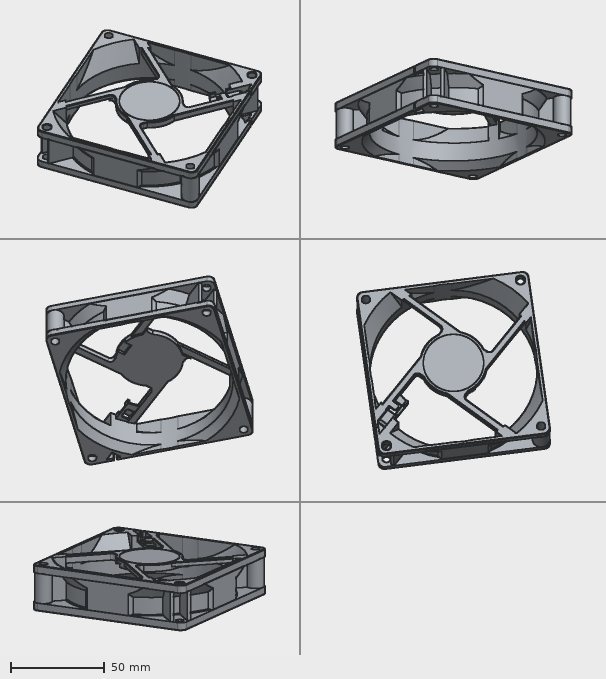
import cadquery as cq
import math

HEIGHT = 25.1
TIP_REACH = 64.1
CORNER_RADIUS = 3.5
FLANGE_HALF = (TIP_REACH + (math.sqrt(2) - 1) * CORNER_RADIUS) / math.sqrt(2)
FLANGE_THICK = 4.4
EDGE_CHAMFER = 0.4
UPPER_FLANGE_Z = HEIGHT - FLANGE_THICK
SPACER_HEIGHT = HEIGHT - 2 * FLANGE_THICK

HOLE_DISTANCE = 59.0
HOLE_DIAMETER = 4.5
POST_RADIUS = 4.7
WEB_THICK = 1.4
GUARD_INNER = 3.7
GUARD_THICK = 1.9
GUARD_REACH = 60.1

BORE_RADIUS = 44.7
DUCT_WALL = 1.7
DUCT_RADIUS = BORE_RADIUS + DUCT_WALL
FLARE_Z = 14.4
FLARE_SLOPE = 0.7
FOOT_FLARE_Z = 4.2
BORE_FLAT = 44.5
PAD_FACE = 46.0
PAD_HALF_WIDTH = 12.5
PAD_ROOT = 42.3

HUB_RADIUS = 18.0
LABEL_RADIUS = 16.2
LABEL_DEPTH = 0.1
SPIDER_THICK = 3.8
THIN_STRUT_THICK = 2.4
STRUT_INNER = 12.3
STRUT_OUTER = 16.2
STRUT_FILLET = 2.2
ANCHOR_MARGIN = 1.0
NOTCH_WIDTH = 7.4
NOTCH_DEPTH = 4.5
NOTCH_HEIGHT = 1.9

GUIDE_LEFT = 7.0
GUIDE_WALL = 1.2
GUIDE_ANCHOR_LEFT = 2.8
GUIDE_FLOOR_Z = 21.8
GUIDE_FLOOR_THICK = 1.0
GUIDE_FLOOR_END = 50.2
GUIDE_RAMP = 1.7
GUIDE_RAMP_DROP = 0.9
GUIDE_TIP = 32.0
GUIDE_TIP_SLANT = 1.3
WINDOW_LEFT = 7.7
WINDOW_LENGTH = 6.3
WINDOW_CENTER = 38.5
WINDOW_ROUND = 0.6
FINGER_TIP = 8.2
FINGER_WIDTH = 3.5
FINGER_THICK = 1.7
FINGER_ROUND = 1.3
SLIT_OFFSET = 30.0
SLIT_WIDTH = 1.8

OVERLAP = 0.6


def box(x0, x1, y0, y1, z0, z1):
    return cq.Workplane("XY").box(x1 - x0, y1 - y0, z1 - z0, centered=False).translate((x0, y0, z0))


def disc(radius, z0, z1):
    return cq.Workplane("XY").workplane(offset=z0).circle(radius).extrude(z1 - z0)


def diamond(half, z0, z1):
    """Square prism with its corners on the X and Y axes."""
    return (
        cq.Workplane("XY").workplane(offset=z0).rect(2 * half, 2 * half).extrude(z1 - z0)
        .rotate((0, 0, 0), (0, 0, 1), 45)
    )


def flared(radius, foot_flare_z):
    """Cylinder that opens into a cone towards the top and a 45 degree cone towards the base."""
    foot_radius = radius + foot_flare_z
    top_radius = radius + FLARE_SLOPE * (HEIGHT - FLARE_Z)
    return (
        cq.Workplane("XZ")
        .polyline([
            (0, 0), (foot_radius, 0), (radius, foot_flare_z),
            (radius, FLARE_Z), (top_radius, HEIGHT), (0, HEIGHT),
        ])
        .close().revolve(360, (0, 0, 0), (0, 1, 0))
    )


def duct_body():
    """Outer skin of the duct, one wall thickness outside the air passage."""
    foot_flare_z = FOOT_FLARE_Z + DUCT_WALL * math.tan(math.radians(45) / 2)
    return flared(DUCT_RADIUS, foot_flare_z)


def four(shape):
    """The shape together with its copies at every quarter turn."""
    group = shape
    for turn in range(1, 4):
        group = group.union(shape.rotate((0, 0, 0), (0, 0, 1), 90 * turn))
    return group


def flange(z0, outer_face):
    plate = diamond(FLANGE_HALF, z0, z0 + FLANGE_THICK).edges("|Z").fillet(CORNER_RADIUS)
    return plate.faces(outer_face).chamfer(EDGE_CHAMFER)


def pad():
    """Flat pad on one side of the duct, with 45 degree ends."""
    root_half = PAD_HALF_WIDTH + PAD_FACE - PAD_ROOT
    return (
        cq.Workplane("XY")
        .polyline([
            (-PAD_HALF_WIDTH, PAD_FACE), (PAD_HALF_WIDTH, PAD_FACE),
            (root_half, PAD_ROOT), (-root_half, PAD_ROOT),
        ])
        .close().extrude(SPACER_HEIGHT).translate((0, 0, FLANGE_THICK))
        .rotate((0, 0, 0), (0, 0, 1), 45)
    )


def corner_spacers():
    """Posts with webs on the X corners and twin walls on the Y corners."""
    z0, z1 = FLANGE_THICK, UPPER_FLANGE_Z
    group = box(-HOLE_DISTANCE, HOLE_DISTANCE, -WEB_THICK / 2, WEB_THICK / 2, z0, z1)
    guard = box(GUARD_INNER, GUARD_INNER + GUARD_THICK, -GUARD_REACH, GUARD_REACH, z0, z1)
    group = group.union(guard).union(guard.mirror("YZ"))
    for side in (-1, 1):
        group = group.union(disc(POST_RADIUS, z0, z1).translate((side * HOLE_DISTANCE, 0, 0)))
    return group


def anchor(left):
    """Filling of the flare around the outer end of the +Y strut."""
    right = STRUT_OUTER + ANCHOR_MARGIN
    block = box(left, right, 0, HOLE_DISTANCE, FLARE_Z, HEIGHT)
    return block.intersect(diamond(BORE_FLAT, 0, HEIGHT)).intersect(duct_body())


def spider():
    """Hub and four struts in a pinwheel, with a wire notch under the -X rim."""
    z0 = HEIGHT - SPIDER_THICK
    core = box(-STRUT_OUTER, STRUT_OUTER, -STRUT_OUTER, STRUT_OUTER, z0, HEIGHT)
    strut = box(STRUT_INNER, STRUT_OUTER, 0, HOLE_DISTANCE, z0, HEIGHT)
    body = core.union(four(strut)).union(disc(HUB_RADIUS, z0, HEIGHT))
    corner_distance = math.hypot(STRUT_INNER, STRUT_OUTER)
    inner_corners = body.edges("|Z").filter(
        lambda edge: math.isclose(
            math.hypot(edge.Center().x, edge.Center().y), corner_distance, rel_tol=1e-4
        )
    )
    body = inner_corners.fillet(STRUT_FILLET).faces(">Z").chamfer(EDGE_CHAMFER)
    label = disc(LABEL_RADIUS, HEIGHT - LABEL_DEPTH, HEIGHT)
    notch = box(
        -HUB_RADIUS, NOTCH_DEPTH - HUB_RADIUS, -NOTCH_WIDTH / 2, NOTCH_WIDTH / 2, z0, z0 + NOTCH_HEIGHT
    )
    body = body.cut(label).cut(notch)
    thin_z = HEIGHT - THIN_STRUT_THICK
    relief = box(0, HOLE_DISTANCE, -STRUT_OUTER, -STRUT_INNER, z0, thin_z)
    relief = relief.union(box(-STRUT_OUTER, -STRUT_INNER, -HOLE_DISTANCE, 0, z0, thin_z))
    body = body.cut(relief.cut(disc(HUB_RADIUS, z0, thin_z)))
    return body.intersect(disc(BORE_RADIUS + OVERLAP, 0, HEIGHT))


def wire_channel():
    """Opening from the guide to the rim, with a slit that lets the cable in."""
    channel = box(GUIDE_LEFT, STRUT_INNER, GUIDE_FLOOR_END, HOLE_DISTANCE, 0, HEIGHT)
    above_floor = box(GUIDE_LEFT, STRUT_INNER, GUIDE_TIP, HOLE_DISTANCE, GUIDE_FLOOR_Z, HEIGHT)
    slit = (
        cq.Workplane("XY").rect(SLIT_WIDTH, 2 * (FLANGE_HALF - BORE_FLAT + OVERLAP)).extrude(HEIGHT)
        .translate((-SLIT_OFFSET, BORE_FLAT, 0)).rotate((0, 0, 0), (0, 0, 1), -45)
    )
    return channel.union(above_floor).intersect(diamond(BORE_FLAT, 0, HEIGHT)).union(slit)


def cable_guide():
    """Tray beside the +Y strut with a side wall and a finger that holds the cable down."""
    floor_top = GUIDE_FLOOR_Z + GUIDE_FLOOR_THICK
    wall_left = GUIDE_LEFT - GUIDE_WALL
    tray = (
        cq.Workplane("XY").workplane(offset=GUIDE_FLOOR_Z)
        .polyline([
            (wall_left, GUIDE_TIP), (STRUT_INNER, GUIDE_TIP - GUIDE_TIP_SLANT),
            (STRUT_INNER, GUIDE_FLOOR_END), (GUIDE_LEFT, GUIDE_FLOOR_END), (wall_left, BORE_RADIUS),
        ])
        .close().extrude(GUIDE_FLOOR_THICK)
        .faces(">Y").edges(">Z").chamfer(GUIDE_RAMP_DROP, GUIDE_RAMP)
    )
    wall = box(wall_left, GUIDE_LEFT, GUIDE_TIP, BORE_RADIUS + OVERLAP, GUIDE_FLOOR_Z, HEIGHT)
    window_start = WINDOW_CENTER - WINDOW_LENGTH / 2
    window_end = WINDOW_CENTER + WINDOW_LENGTH / 2
    window = (
        box(WINDOW_LEFT, STRUT_INNER, window_start, window_end, GUIDE_FLOOR_Z, HEIGHT)
        .edges("|Z and <X").fillet(WINDOW_ROUND)
    )
    wall_gap = box(wall_left, GUIDE_LEFT, window_start, window_end, floor_top, HEIGHT)
    finger = (
        box(
            FINGER_TIP, STRUT_INNER + OVERLAP,
            WINDOW_CENTER - FINGER_WIDTH / 2, WINDOW_CENTER + FINGER_WIDTH / 2,
            HEIGHT - FINGER_THICK, HEIGHT,
        )
        .edges("|Z and <X").fillet(FINGER_ROUND)
    )
    return tray.union(wall).cut(window).cut(wall_gap).union(finger)


lower_flange = flange(0, "<Z")
upper_flange = flange(UPPER_FLANGE_Z, ">Z")
shell = duct_body().intersect(diamond(PAD_FACE, FLANGE_THICK, UPPER_FLANGE_Z))
frame = lower_flange.union(upper_flange).union(shell).union(four(pad())).union(corner_spacers())

bore = disc(BORE_RADIUS, 0, HEIGHT)
flares = flared(BORE_RADIUS, FOOT_FLARE_Z).intersect(diamond(BORE_FLAT, 0, HEIGHT))
frame = frame.cut(flares.union(bore))

anchors = four(anchor(STRUT_INNER - ANCHOR_MARGIN)).union(anchor(GUIDE_ANCHOR_LEFT))
frame = frame.union(anchors.cut(bore)).union(spider())

frame = frame.cut(wire_channel()).union(cable_guide())

holes = four(disc(HOLE_DIAMETER / 2, 0, HEIGHT).translate((HOLE_DISTANCE, 0, 0)))
result = frame.cut(holes)
for side in (-1, 1):
    sink = cq.Workplane("XY").workplane(offset=HEIGHT).circle(HOLE_DIAMETER / 2 + EDGE_CHAMFER)
    sink = sink.workplane(offset=-EDGE_CHAMFER).circle(HOLE_DIAMETER / 2).loft()
    result = result.cut(sink.translate((0, side * HOLE_DISTANCE, 0)))